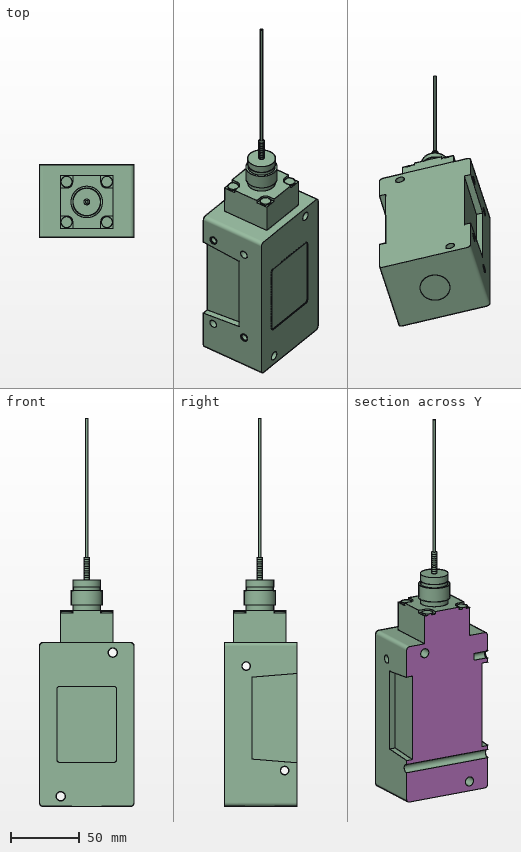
import cadquery as cq


body_width = 69.0
body_front = -25.7
body_back = 27.2
body_bottom = 0.15
body_top = 119.7
edge_radius = 2.8
lid_thickness = 10.0
body_mid_z = (body_bottom + body_top) / 2
lid_back = body_front + lid_thickness

entry_diameter = 21.8

mount_hole_diameter = 6.5
mount_hole_x = 19.0
mount_hole_z_offset = 52.3

plate_width = 43.5
plate_height = 55.5
plate_corner_radius = 2.3
plate_depth = 0.8

side_hole_diameter = 6.0
side_hole_back_y = 18.0
side_hole_front_y = -10.0
side_hole_high_z = 102.5
side_hole_low_z = 26.3
blind_hole_diameter = 4.8
blind_mouth_depth = 0.8
blind_hole_depth = 11.3

pocket_depth = 4.8
pocket_front_y = -5.7
pocket_mid_z = 64.5
pocket_front_height = 59.7
pocket_back_height = 65.0

head_side = 38.5
head_top = 143.0
cap_thickness = 5.0
tongue_width = 17.8
tongue_drop = 5.0
cap_bottom = head_top - cap_thickness
tongue_bottom = cap_bottom - tongue_drop

corner_notch_side = 9.0
corner_notch_depth = 2.0
corner_notch_radius = 4.2
screw_diameter = 8.0
screw_height = 1.0
screw_offset = head_side / 2 - corner_notch_side / 2

sleeve_diameter = 20.5
ring_diameter = 23.0
neck_diameter = 19.8
ring_bottom = 146.9
ring_top = 157.3
neck_top = 160.0
sleeve_top = 165.2

spring_diameter = 4.2
coil_count = 10
coil_pitch = 1.65
rod_diameter = 2.0
rod_top = 283.0


def block(width, y_min, y_max, z_min, z_max):
    """Box centred on X between the given Y and Z limits."""
    box = cq.Workplane("XY").box(width, y_max - y_min, z_max - z_min, centered=(True, False, False))
    return box.translate((0, y_min, z_min))


def cylinder(diameter, z_min, z_max, x=0, y=0):
    """Upright cylinder between two heights."""
    return cq.Workplane("XY", origin=(x, y, z_min)).circle(diameter / 2).extrude(z_max - z_min)


def side_hole(diameter, y, z, depth):
    """Hole running along +X from the -X side of the housing."""
    mouth = cq.Workplane("YZ", origin=(-body_width / 2, y, z))
    return mouth.circle(diameter / 2).extrude(depth)


def side_pocket():
    """Tapered cutter for the pocket in the -X side."""
    front_half = pocket_front_height / 2
    back_half = pocket_back_height / 2
    outline = [
        (pocket_front_y, pocket_mid_z - front_half),
        (body_back, pocket_mid_z - back_half),
        (body_back, pocket_mid_z + back_half),
        (pocket_front_y, pocket_mid_z + front_half),
    ]
    side_face = cq.Workplane("YZ", origin=(-body_width / 2, 0, 0))
    return side_face.polyline(outline).close().extrude(pocket_depth)


def housing_block(y_min, y_max):
    """Slice of the housing with its four long edges rounded."""
    return block(body_width, y_min, y_max, body_bottom, body_top).edges("|Y").fillet(edge_radius)


def make_lid():
    plate = block(plate_width, body_front, body_front + plate_depth,
                  body_mid_z - plate_height / 2, body_mid_z + plate_height / 2)
    return housing_block(body_front, lid_back).cut(plate.edges("|Y").fillet(plate_corner_radius))


def make_case():
    case = housing_block(lid_back, body_back)
    pocket = side_pocket()
    case = case.cut(pocket).cut(pocket.mirror("YZ"))

    for y, z in [(side_hole_front_y, side_hole_high_z), (side_hole_back_y, side_hole_low_z)]:
        case = case.cut(side_hole(side_hole_diameter, y, z, body_width))

    for y, z in [(side_hole_back_y, side_hole_high_z), (side_hole_front_y, side_hole_low_z)]:
        case = case.cut(side_hole(side_hole_diameter, y, z, blind_mouth_depth))
        case = case.cut(side_hole(blind_hole_diameter, y, z, blind_hole_depth))

    return case.union(cylinder(entry_diameter, 0, body_bottom))


def drill_mounting_holes(part):
    """Bore the two diagonal mounting holes through a housing part."""
    for side in (-1, 1):
        z = body_mid_z + side * mount_hole_z_offset
        hole = cq.Workplane("XZ", origin=(side * mount_hole_x, body_back, z))
        part = part.cut(hole.circle(mount_hole_diameter / 2).extrude(body_back - body_front))
    return part


def notch_corners(head):
    """Cut a round-ended step with a screw head into each corner of the head."""
    floor = head_top - corner_notch_depth
    for x_side in (-1, 1):
        for y_side in (-1, 1):
            x = x_side * screw_offset
            y = y_side * screw_offset
            inner_edge = ("<" if x_side > 0 else ">") + "X"
            inner_corner = ("<" if y_side > 0 else ">") + "Y"
            notch = cq.Workplane("XY", origin=(x, y, floor)).box(
                corner_notch_side, corner_notch_side, corner_notch_depth, centered=(True, True, False))
            notch = notch.edges("|Z").edges(inner_edge).edges(inner_corner).fillet(corner_notch_radius)
            head = head.cut(notch).union(cylinder(screw_diameter, floor, floor + screw_height, x, y))
    return head


def make_cap():
    """Head cover with a tongue hanging down on all four sides."""
    half = head_side / 2
    cover = block(head_side, -half, half, cap_bottom, head_top)
    tongue = block(head_side, -tongue_width / 2, tongue_width / 2, tongue_bottom, cap_bottom)
    cross_tongue = block(tongue_width, -half, half, tongue_bottom, cap_bottom)
    return notch_corners(cover.union(tongue).union(cross_tongue))


def make_sleeve():
    sleeve = cylinder(sleeve_diameter, head_top, ring_bottom)
    sleeve = sleeve.union(cylinder(ring_diameter, ring_bottom, ring_top))
    sleeve = sleeve.union(cylinder(neck_diameter, ring_top, neck_top))
    return sleeve.union(cylinder(sleeve_diameter, neck_top, sleeve_top))


def make_actuator():
    """Rod surrounded by touching spring coils, each a half-round bulge."""
    coil_radius = coil_pitch / 2
    flank = spring_diameter / 2 - coil_radius
    profile = cq.Workplane("XZ").moveTo(0, sleeve_top).lineTo(flank, sleeve_top)
    for coil in range(coil_count):
        z = sleeve_top + coil * coil_pitch
        profile = profile.threePointArc((spring_diameter / 2, z + coil_radius), (flank, z + coil_pitch))
    profile = profile.lineTo(0, sleeve_top + coil_count * coil_pitch).close()
    spring = profile.revolve(360, (0, 0, 0), (0, 1, 0))
    return spring.union(cylinder(rod_diameter, sleeve_top, rod_top))


cap = make_cap()
head_block = block(head_side, -head_side / 2, head_side / 2, body_top, cap_bottom).cut(cap)

result = drill_mounting_holes(make_lid()).union(drill_mounting_holes(make_case()), clean=False)
for piece in (head_block, cap, make_sleeve(), make_actuator()):
    result = result.union(piece, clean=False)